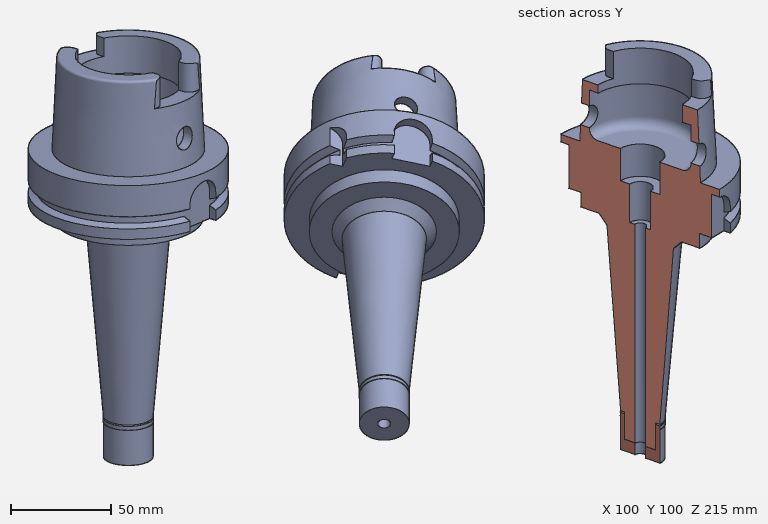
import cadquery as cq
import math

TOTAL_HEIGHT = 215.0
SHANK_LENGTH = 50.0
FLANGE_THICKNESS = 28.8
HUB_THICKNESS = 8.2
SHOULDER_HEIGHT = 5.0

FLANGE_TOP = TOTAL_HEIGHT - SHANK_LENGTH
FLANGE_BOTTOM = FLANGE_TOP - FLANGE_THICKNESS
HUB_BOTTOM = FLANGE_BOTTOM - HUB_THICKNESS
NECK_TOP = HUB_BOTTOM - SHOULDER_HEIGHT

NUT_RADIUS = 12.5
NUT_COLLAR_RADIUS = 12.7
NUT_COLLAR_HEIGHT = 2.2
NUT_HEIGHT = 21.0
NUT_GAP = 0.6
NECK_BOTTOM = NUT_HEIGHT + NUT_GAP

SHANK_TOP_RADIUS = 35.7
SHANK_BASE_RADIUS = 38.0
SHANK_RIM_FILLET = 1.5
FLANGE_DIAMETER = 100.0
FLANGE_RADIUS = FLANGE_DIAMETER / 2
HUB_RADIUS = 37.5
SHOULDER_TOP_RADIUS = 26.0
NECK_TOP_RADIUS = 21.0
NECK_BOTTOM_RADIUS = 12.5

NOSE_RADIUS = 9.9
NOSE_BOTTOM = 6.5

GROOVE_BELOW_FLANGE_TOP = 20.0
GROOVE_OUTER_HALF_WIDTH = 3.2
GROOVE_INNER_HALF_WIDTH = 1.7
GROOVE_RADIUS = 46.0

MOUTH_RADIUS = 26.5
MOUTH_DEPTH = 20.0
CAVITY_RADIUS = 31.8
CAVITY_DEPTH = 46.5
CAVITY_FLOOR_FILLET = 5.2
TUBE_BORE_RADIUS = 12.3
TUBE_BORE_DEPTH = 64.5
CHANNEL_RADIUS = 6.5
CHANNEL_DEPTH = 86.0
THROUGH_RADIUS = 3.2

CROSS_HOLE_RADIUS = 6.0
CROSS_HOLE_DEPTH = 34.8

SLOT_WIDTH = 19.8
SLOT_CORNER_RADIUS = 5.0
SLOT_FACE_OFFSET = 32.0
SHALLOW_SLOT_DEPTH = 9.9
DEEP_SLOT_DEPTH = 15.3

KEYWAY_RADIUS = 9.9
KEYWAY_TOP_BELOW_FLANGE = 4.5
KEYWAY_FLOOR = 45.0

NOTCH_CENTER_Y = 41.5
NOTCH_FLOOR = 32.0

CLEARANCE = 10.8


def disc(radius, bottom, top):
    return cq.Workplane("XY").workplane(offset=bottom).circle(radius).extrude(top - bottom)


def holder_blank():
    groove_z = FLANGE_TOP - GROOVE_BELOW_FLANGE_TOP
    profile = [
        (0, TOTAL_HEIGHT),
        (SHANK_TOP_RADIUS, TOTAL_HEIGHT),
        (SHANK_BASE_RADIUS, FLANGE_TOP),
        (FLANGE_RADIUS, FLANGE_TOP),
        (FLANGE_RADIUS, groove_z + GROOVE_OUTER_HALF_WIDTH),
        (GROOVE_RADIUS, groove_z + GROOVE_INNER_HALF_WIDTH),
        (GROOVE_RADIUS, groove_z - GROOVE_INNER_HALF_WIDTH),
        (FLANGE_RADIUS, groove_z - GROOVE_OUTER_HALF_WIDTH),
        (FLANGE_RADIUS, FLANGE_BOTTOM),
        (HUB_RADIUS, FLANGE_BOTTOM),
        (HUB_RADIUS, HUB_BOTTOM),
        (SHOULDER_TOP_RADIUS, HUB_BOTTOM),
        (NECK_TOP_RADIUS, NECK_TOP),
        (NECK_BOTTOM_RADIUS, NECK_BOTTOM),
        (NOSE_RADIUS, NECK_BOTTOM),
        (NOSE_RADIUS, NOSE_BOTTOM),
        (0, NOSE_BOTTOM),
    ]
    blank = cq.Workplane("XZ").polyline(profile).close().revolve(360, (0, 0, 0), (0, 1, 0))
    return blank.faces(">Z").edges().fillet(SHANK_RIM_FILLET)


def cavity():
    floor = TOTAL_HEIGHT - CAVITY_DEPTH
    mouth_bottom = TOTAL_HEIGHT - MOUTH_DEPTH
    chamber = disc(CAVITY_RADIUS, floor, mouth_bottom).faces("<Z").edges().fillet(CAVITY_FLOOR_FILLET)
    return (
        chamber.union(disc(MOUTH_RADIUS, floor, TOTAL_HEIGHT))
        .union(disc(TUBE_BORE_RADIUS, TOTAL_HEIGHT - TUBE_BORE_DEPTH, TOTAL_HEIGHT))
        .union(disc(CHANNEL_RADIUS, TOTAL_HEIGHT - CHANNEL_DEPTH, TOTAL_HEIGHT))
        .union(disc(THROUGH_RADIUS, 0, TOTAL_HEIGHT))
    )


def cross_hole():
    return (
        cq.Workplane("YZ")
        .center(0, TOTAL_HEIGHT - CROSS_HOLE_DEPTH)
        .circle(CROSS_HOLE_RADIUS)
        .extrude(FLANGE_RADIUS, both=True)
    )


def drive_slot(side, depth):
    """Rim slot on the +X (side=1) or -X (side=-1) side, flaring through round corners to a flat face."""
    half_width = SLOT_WIDTH / 2
    bend_x = side * (SLOT_FACE_OFFSET - SLOT_CORNER_RADIUS)
    face_x = side * SLOT_FACE_OFFSET
    flare_y = half_width + SLOT_CORNER_RADIUS
    arc_reach = SLOT_CORNER_RADIUS * math.sin(math.pi / 4)
    arc_x = bend_x + side * arc_reach
    arc_y = flare_y - arc_reach
    outer_x = side * FLANGE_RADIUS
    return (
        cq.Workplane("XY")
        .workplane(offset=TOTAL_HEIGHT - depth)
        .moveTo(0, -half_width)
        .lineTo(bend_x, -half_width)
        .threePointArc((arc_x, -arc_y), (face_x, -flare_y))
        .lineTo(face_x, -FLANGE_RADIUS)
        .lineTo(outer_x, -FLANGE_RADIUS)
        .lineTo(outer_x, FLANGE_RADIUS)
        .lineTo(face_x, FLANGE_RADIUS)
        .lineTo(face_x, flare_y)
        .threePointArc((arc_x, arc_y), (bend_x, half_width))
        .lineTo(0, half_width)
        .close()
        .extrude(depth)
    )


def keyway(side, center_y, floor):
    """Round-topped recess cut along X from outside the flange in to a flat floor."""
    center_z = FLANGE_TOP - KEYWAY_TOP_BELOW_FLANGE - KEYWAY_RADIUS
    length = side * (FLANGE_RADIUS + CLEARANCE - floor)
    return (
        cq.Workplane("YZ", origin=(side * floor, center_y, 0))
        .moveTo(-KEYWAY_RADIUS, FLANGE_BOTTOM)
        .lineTo(-KEYWAY_RADIUS, center_z)
        .threePointArc((0, center_z + KEYWAY_RADIUS), (KEYWAY_RADIUS, center_z))
        .lineTo(KEYWAY_RADIUS, FLANGE_BOTTOM)
        .close()
        .extrude(length)
    )


def make_holder():
    return (
        holder_blank()
        .cut(cavity())
        .cut(cross_hole())
        .cut(drive_slot(-1, SHALLOW_SLOT_DEPTH))
        .cut(drive_slot(1, DEEP_SLOT_DEPTH))
        .cut(keyway(-1, 0, KEYWAY_FLOOR))
        .cut(keyway(1, 0, KEYWAY_FLOOR))
        .cut(keyway(-1, NOTCH_CENTER_Y, NOTCH_FLOOR))
    )


def make_nut():
    body = disc(NUT_RADIUS, 0, NUT_HEIGHT)
    collar = disc(NUT_COLLAR_RADIUS, NUT_HEIGHT - NUT_COLLAR_HEIGHT, NUT_HEIGHT)
    nose_seat = disc(NOSE_RADIUS, NOSE_BOTTOM, NUT_HEIGHT)
    return body.union(collar).cut(nose_seat).cut(disc(THROUGH_RADIUS, 0, NUT_HEIGHT))


holder = make_holder()
nut = make_nut()
result = cq.Compound.makeCompound([holder.val(), nut.val()])